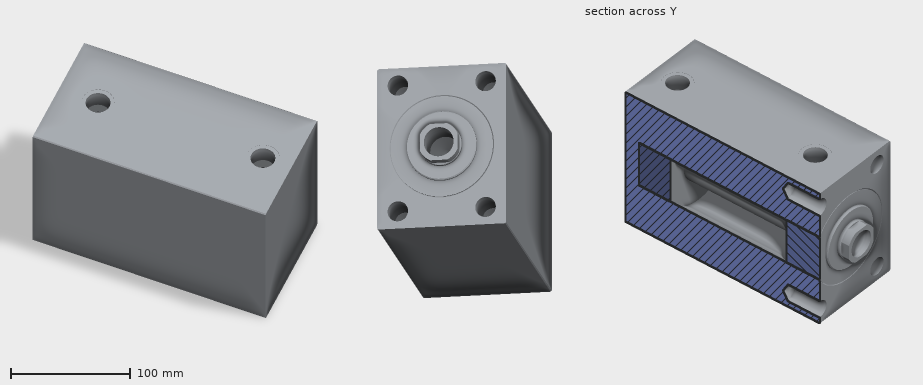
import cadquery as cq
import math


total_length = 227.0
rod_projection = 14.0
housing_length = total_length - rod_projection
housing_width = 110.0
housing_height = 140.0
edge_chamfer = 1.0

bore_diameter = 87.6
bore_mouth_chamfer = 1.0
bore_depth = 197.5

mount_spacing_y = 75.0
mount_spacing_z = 109.9
mount_diameter = 17.5
mount_depth = 35.0

port_front_x = 36.0
port_spacing = 150.7
port_seat_diameter = 28.1
port_seat_depth = 0.2
port_diameter = 20.9
port_depth = 16.0
port_passage_diameter = 6.1

gland_collar_diameter = 60.2
gland_collar_height = 2.7
gland_collar_chamfer = 1.0
gland_end_x = 37.0

rod_diameter = 39.5
neck_diameter = 36.0
neck_length = 3.2
tip_diameter = 35.0
tip_across_flats = 31.8
rod_hole_diameter = 25.5
rod_hole_depth = 30.0
piston_length = 34.0

drill_point_angle = 118


def axial_cylinder(diameter, start_x, end_x):
    """Solid cylinder on the cylinder axis from start_x to end_x."""
    return cq.Workplane("YZ", origin=(start_x, 0, 0)).circle(diameter / 2).extrude(end_x - start_x)


def axial_drill(diameter, depth):
    """Cutter for a blind hole running in +X from the origin, with a conical bottom."""
    radius = diameter / 2
    point_length = radius / math.tan(math.radians(drill_point_angle / 2))
    outline = [(0, 0), (0, radius), (depth, radius), (depth + point_length, 0)]
    return cq.Workplane("XY").polyline(outline).close().revolve(360, (0, 0, 0), (1, 0, 0))


def port_cutter(port_x):
    """Cutter for one oil port: seat ring, port hole and narrow passage into the bore."""
    top = cq.Workplane("XY", origin=(port_x, 0, housing_height / 2))
    seat = top.circle(port_seat_diameter / 2).extrude(-port_seat_depth)
    port = top.circle(port_diameter / 2).extrude(-port_depth)
    passage = top.circle(port_passage_diameter / 2).extrude(-housing_height / 2)
    return seat.union(port).union(passage)


def make_housing():
    """Block with a blind bore, four mounting holes and two oil ports."""
    block = cq.Workplane("XY").box(
        housing_length, housing_width, housing_height, centered=(False, True, True)
    )
    block = block.edges("|X").chamfer(edge_chamfer)

    block = block.cut(axial_cylinder(bore_diameter, 0, bore_depth))
    block = block.faces("<X").edges("%CIRCLE").chamfer(bore_mouth_chamfer)

    mount_drill = axial_drill(mount_diameter, mount_depth)
    for y in (-mount_spacing_y / 2, mount_spacing_y / 2):
        for z in (-mount_spacing_z / 2, mount_spacing_z / 2):
            block = block.cut(mount_drill.translate((0, y, z)))

    for port_x in (port_front_x, port_front_x + port_spacing):
        block = block.cut(port_cutter(port_x))
    return block


def make_gland():
    """Guide that closes the front of the bore, with a chamfered collar around the rod."""
    collar = axial_cylinder(gland_collar_diameter, -gland_collar_height, 0)
    collar = collar.faces("<X").chamfer(gland_collar_chamfer)
    gland = axial_cylinder(bore_diameter, 0, gland_end_x).union(collar)
    return gland.cut(axial_cylinder(rod_diameter, -gland_collar_height, gland_end_x))


def make_piston_rod():
    """Rod and piston in one piece, with a four-flat tip and a hole in its end."""
    shoulder_x = -gland_collar_height
    neck_x = shoulder_x - neck_length
    neck_chamfer = (neck_diameter - tip_diameter) / 2

    piston = axial_cylinder(bore_diameter, bore_depth - piston_length, bore_depth)
    shaft = axial_cylinder(rod_diameter, shoulder_x, bore_depth)
    neck = axial_cylinder(neck_diameter, neck_x, shoulder_x).faces("<X").chamfer(neck_chamfer)

    tip_length = rod_projection + neck_x
    square = cq.Workplane("XY").box(
        tip_length, tip_across_flats, tip_across_flats, centered=(False, True, True)
    )
    tip = axial_cylinder(tip_diameter, -rod_projection, neck_x)
    tip = tip.intersect(square.translate((-rod_projection, 0, 0)))

    rod = piston.union(shaft).union(neck).union(tip)
    hole = axial_drill(rod_hole_diameter, rod_hole_depth)
    return rod.cut(hole.translate((-rod_projection, 0, 0)))


housing = make_housing()
gland = make_gland()
piston_rod = make_piston_rod()

result = cq.Compound.makeCompound([housing.val(), gland.val(), piston_rod.val()])